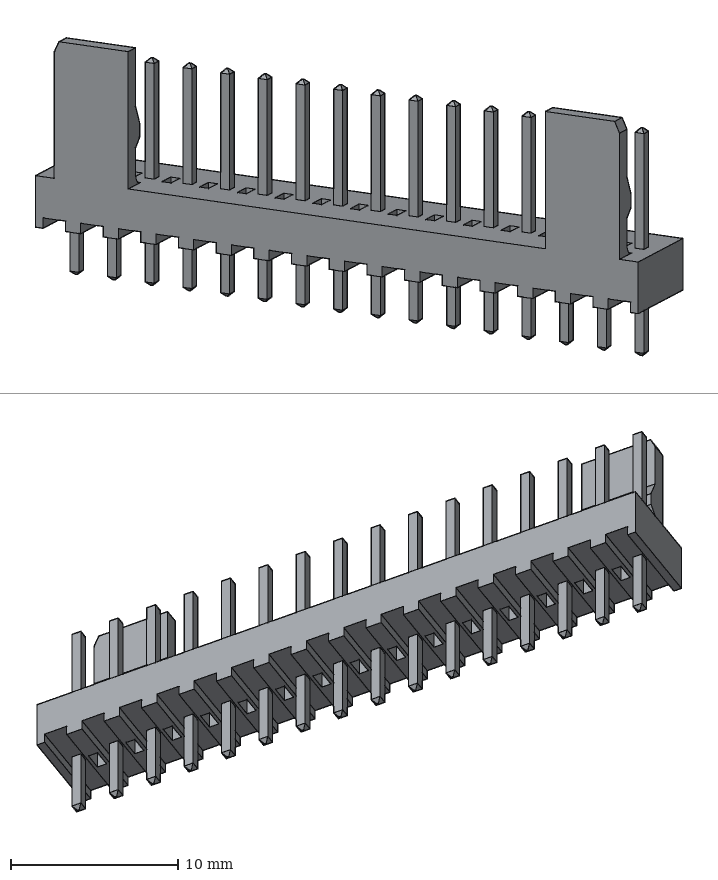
import cadquery as cq

pin_count = 16
base_length = 40.65
pitch = base_length / pin_count
base_depth = 5.8
base_height = 3.2

pin_width = 0.6
pin_below = 3.5
pin_above = 7.45
pin_tip_chamfer = 0.25

notch_width = 1.5
notch_height = 0.65

slot_width = 0.6
slot_depth = 1.15

wall_length = 5.0
wall_end_gap = 1.25
wall_height = 8.55
wall_thickness = 0.98
wall_corner_width = 0.33
wall_corner_height = 0.7
foot_radius = 0.6

ridge_reach = 0.53
ridge_start = 2.3
ridge_flat_start = 2.85
ridge_flat_end = 3.7
ridge_end = 4.88

pin_positions = [((i - (pin_count - 1) / 2) * pitch, 0) for i in range(pin_count)]
slot_positions = [((i - (pin_count - 2) / 2) * pitch, 0) for i in range(pin_count - 1)]


def make_base():
    """Plain block with standoff notches and through slots cut into it."""
    base = cq.Workplane("XY").box(base_length, base_depth, base_height, centered=(True, True, False))
    notches = cq.Workplane("XY").pushPoints(pin_positions).rect(notch_width, base_depth).extrude(notch_height)
    slots = cq.Workplane("XY").pushPoints(slot_positions).rect(slot_width, slot_depth).extrude(base_height)
    return base.cut(notches).cut(slots)


def make_pin(x, y):
    """Square pin with both tips chamfered, passing through the base."""
    pin_length = pin_below + base_height + pin_above
    return (
        cq.Workplane("XY", origin=(x, y, -pin_below))
        .rect(pin_width, pin_width)
        .extrude(pin_length)
        .faces("<Z or >Z")
        .chamfer(pin_tip_chamfer)
    )


def make_left_wall():
    """Wall with a latch ridge and a foot fillet, its outer top corner cut off."""
    front_y = -base_depth / 2
    inner_y = front_y + wall_thickness
    ridge_y = inner_y + ridge_reach
    outer_x = -base_length / 2 + wall_end_gap
    top_z = base_height + wall_height
    wall = (
        cq.Workplane("YZ", origin=(outer_x, 0, 0))
        .moveTo(front_y, base_height)
        .lineTo(front_y, top_z)
        .lineTo(inner_y, top_z)
        .lineTo(inner_y, base_height + ridge_end)
        .lineTo(ridge_y, base_height + ridge_flat_end)
        .lineTo(ridge_y, base_height + ridge_flat_start)
        .lineTo(inner_y, base_height + ridge_start)
        .lineTo(inner_y, base_height + foot_radius)
        .radiusArc((inner_y + foot_radius, base_height), -foot_radius)
        .close()
        .extrude(wall_length)
    )
    corner = (
        cq.Workplane("XZ", origin=(0, front_y, 0))
        .moveTo(outer_x, top_z)
        .lineTo(outer_x + wall_corner_width, top_z)
        .lineTo(outer_x, top_z - wall_corner_height)
        .close()
        .extrude(-base_depth)
    )
    return wall.cut(corner)


result = make_base()
left_wall = make_left_wall()
result = result.union(left_wall).union(left_wall.mirror("YZ"))
for pin_x, pin_y in pin_positions:
    result = result.union(make_pin(pin_x, pin_y))